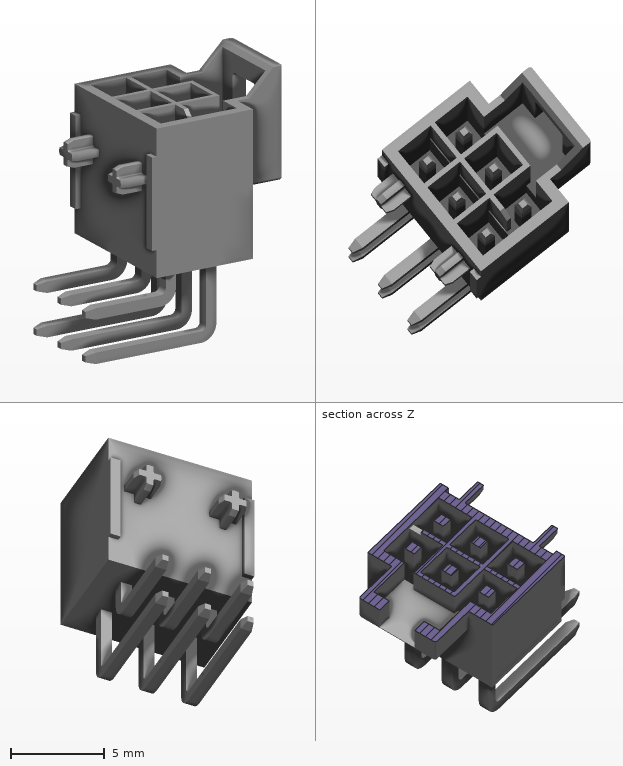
import cadquery as cq


BODY_WIDTH = 8.45
BODY_DEPTH = 6.0
BODY_HEIGHT = 8.45

PITCH = 2.5
DIVIDER = 0.28
CELL = PITCH - DIVIDER
CELL_DEPTH = 6.89
FRONT_WALL = 0.62
COLUMNS = [-PITCH, 0, PITCH]
FRONT_ROW_Y = FRONT_WALL + CELL / 2
REAR_ROW_Y = FRONT_ROW_Y + PITCH
CELLS_BACK_Y = REAR_ROW_Y + CELL / 2

LEDGE_DEPTH = 3.66
LEDGE_WIDTH = 0.06

NOTCH_WIDTH = 0.75
NOTCH_CHAMFER = 0.57

HOOD_WIDTH = 5.22
HOOD_LENGTH = 2.85
HOOD_RISE = 1.48
HOOD_HEIGHT = 6.47
HOOD_BACK_Y = BODY_DEPTH + HOOD_LENGTH
HOOD_TOP_LAND = 0.59
HOOD_BACK_WALL = 0.85
HOOD_SIDE_WALL = 0.4
HOOD_FLOOR = 0.18
HOOD_ROUND = 0.18
HOOD_BOTTOM_Z = HOOD_RISE - HOOD_HEIGHT
POCKET_FLOOR_Z = HOOD_BOTTOM_Z + HOOD_FLOOR

WINDOW_WIDTH = 2.35
WINDOW_TOP_Z = 0.13
WINDOW_ROUND = 0.23

RIB_WIDTH = 0.59
RIB_HEIGHT = 5.28
RIB_THICKNESS = 0.3
PEG_SPAN = 1.61
PEG_ARM = 0.41
PEG_LENGTH = 1.6
PEG_Z = -3.18
PEG_ROOT_ROUND = 0.09
PEG_TIP_LENGTH = 0.4
PEG_TIP_INSET = 0.15

PIN = 0.65
PIN_TIP = 0.35
PIN_TIP_LENGTH = 0.55
PIN_TOP_DEPTH = 1.76
PIN_END_Y = -3.5
PIN_BEND_RADIUS = PIN
FRONT_LEG_DROP = 1.9
FRONT_LEG_Z = -BODY_HEIGHT - FRONT_LEG_DROP
REAR_LEG_Z = FRONT_LEG_Z - PITCH


def block(x_range, y_range, z_range):
    """Box between the given limits along each axis."""
    sizes = [limits[1] - limits[0] for limits in (x_range, y_range, z_range)]
    corner = (x_range[0], y_range[0], z_range[0])
    return cq.Workplane("XY").box(*sizes, centered=False).translate(corner)


def centered_block(width, y_range, z_range):
    """Box symmetric about X = 0."""
    return block((-width / 2, width / 2), y_range, z_range)


def make_hood():
    """Solid hood with a 45 degree front slope and rounded outer edges."""
    slope_top_y = HOOD_BACK_Y - HOOD_TOP_LAND
    hood = (
        cq.Workplane("YZ")
        .moveTo(BODY_DEPTH, HOOD_BOTTOM_Z)
        .lineTo(HOOD_BACK_Y, HOOD_BOTTOM_Z)
        .lineTo(HOOD_BACK_Y, HOOD_RISE)
        .lineTo(slope_top_y, HOOD_RISE)
        .lineTo(slope_top_y - HOOD_RISE, 0)
        .lineTo(BODY_DEPTH, 0)
        .close()
        .extrude(HOOD_WIDTH / 2, both=True)
    )
    hood = hood.edges("|Z and >Y").fillet(HOOD_ROUND)
    return hood.faces("<Z").edges("not <Y").fillet(HOOD_ROUND)


def make_hood_pocket():
    """Space inside the hood, open to the rear cells, and the latch window."""
    pocket_back_y = HOOD_BACK_Y - HOOD_BACK_WALL
    pocket_width = HOOD_WIDTH - 2 * HOOD_SIDE_WALL
    pocket = centered_block(pocket_width, (CELLS_BACK_Y, pocket_back_y), (POCKET_FLOOR_Z, HOOD_RISE))
    window = centered_block(WINDOW_WIDTH, (pocket_back_y, HOOD_BACK_Y), (POCKET_FLOOR_Z, WINDOW_TOP_Z))
    window = window.edges("|Y and >Z").fillet(WINDOW_ROUND)
    return pocket.union(window)


def make_cells():
    """The six square cells, with the front row narrower below the ledge."""
    cells = (
        cq.Workplane("XY")
        .pushPoints([(x, y) for x in COLUMNS for y in (FRONT_ROW_Y, REAR_ROW_Y)])
        .rect(CELL, CELL)
        .extrude(-CELL_DEPTH)
    )
    divider_front_y = FRONT_ROW_Y + CELL / 2
    ledge = centered_block(
        BODY_WIDTH,
        (divider_front_y - LEDGE_WIDTH, divider_front_y),
        (-CELL_DEPTH, -LEDGE_DEPTH),
    )
    return cells.cut(ledge)


def make_notch():
    """Notch in the row divider, with a chamfered mouth."""
    wall_x = PITCH + CELL / 2
    notch_x = wall_x - NOTCH_WIDTH
    return (
        cq.Workplane("XZ", origin=(0, FRONT_ROW_Y + CELL / 2, 0))
        .moveTo(wall_x, 0)
        .lineTo(wall_x, -LEDGE_DEPTH)
        .lineTo(notch_x, -LEDGE_DEPTH)
        .lineTo(notch_x, -NOTCH_CHAMFER)
        .lineTo(notch_x - NOTCH_CHAMFER, 0)
        .close()
        .extrude(-DIVIDER)
    )


def make_housing():
    body = centered_block(BODY_WIDTH, (0, BODY_DEPTH), (-BODY_HEIGHT, 0))
    housing = body.union(make_hood()).cut(make_hood_pocket())
    center_cell_wall = centered_block(
        CELL + 2 * DIVIDER,
        (CELLS_BACK_Y, CELLS_BACK_Y + DIVIDER),
        (POCKET_FLOOR_Z, 0),
    )
    return housing.union(center_cell_wall).cut(make_cells()).cut(make_notch())


def make_rib(side):
    """Standoff rib along one side edge of the mounting face."""
    outer_x = side * BODY_WIDTH / 2
    x_range = sorted((outer_x, outer_x - side * RIB_WIDTH))
    top_z = -(BODY_HEIGHT - RIB_HEIGHT) / 2
    return block(x_range, (-RIB_THICKNESS, 0), (top_z - RIB_HEIGHT, top_z))


def make_peg(x):
    """Cross-shaped peg with round arm ends and a conical tip."""
    face = cq.Workplane("XZ", origin=(x, 0, PEG_Z))
    cross = face.rect(PEG_SPAN, PEG_ARM).extrude(PEG_LENGTH)
    cross = cross.union(face.rect(PEG_ARM, PEG_SPAN).extrude(PEG_LENGTH))
    root = cq.selectors.BoxSelector(
        (x - PEG_ARM, -PEG_LENGTH, PEG_Z - PEG_ARM),
        (x + PEG_ARM, 0, PEG_Z + PEG_ARM),
    )
    cross = cross.edges("|Y").edges(root).fillet(PEG_ROOT_ROUND)
    radius = PEG_SPAN / 2
    envelope = (
        cq.Workplane("YZ", origin=(x, 0, PEG_Z))
        .lineTo(0, radius)
        .lineTo(PEG_TIP_LENGTH - PEG_LENGTH, radius)
        .lineTo(-PEG_LENGTH, radius - PEG_TIP_INSET)
        .lineTo(-PEG_LENGTH, 0)
        .close()
        .revolve(360, (0, 0), (1, 0))
    )
    return cross.intersect(envelope)


def make_pin_tip(plane):
    """Square tapered pin end growing along the plane normal."""
    return (
        cq.Workplane(plane)
        .rect(PIN, PIN)
        .workplane(offset=PIN_TIP_LENGTH)
        .rect(PIN_TIP, PIN_TIP)
        .loft(combine=True)
    )


def make_pin(x, y, leg_z):
    """Pin standing in a cell, bent forward to run along -Y at leg_z."""
    top_z = -PIN_TOP_DEPTH - PIN_TIP_LENGTH
    leg_end_y = PIN_END_Y + PIN_TIP_LENGTH
    path = (
        cq.Workplane("YZ", origin=(x, 0, 0))
        .moveTo(y, top_z)
        .lineTo(y, leg_z + PIN_BEND_RADIUS)
        .tangentArcPoint((y - PIN_BEND_RADIUS, leg_z), relative=False)
        .lineTo(leg_end_y, leg_z)
    )
    shank = cq.Workplane("XY", origin=(x, y, top_z)).rect(PIN, PIN).sweep(path)
    top_tip = make_pin_tip(cq.Plane((x, y, top_z), xDir=(1, 0, 0), normal=(0, 0, 1)))
    leg_tip = make_pin_tip(cq.Plane((x, leg_end_y, leg_z), xDir=(1, 0, 0), normal=(0, -1, 0)))
    return shank.union(top_tip).union(leg_tip)


result = make_housing()
for side in (-1, 1):
    result = result.union(make_rib(side)).union(make_peg(side * PITCH))
for column_x in COLUMNS:
    result = result.union(make_pin(column_x, FRONT_ROW_Y, FRONT_LEG_Z))
    result = result.union(make_pin(column_x, REAR_ROW_Y, REAR_LEG_Z))